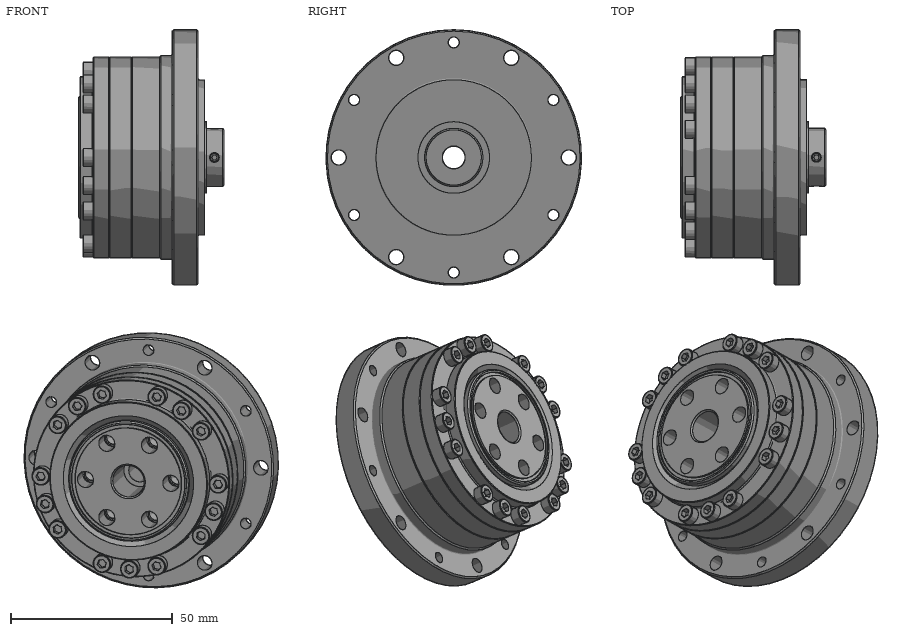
import cadquery as cq
import math


LIP_FACE_X = 0.5
BOLT_HEAD_X = 1.4
FRONT_RING_X = 4.6
MIDDLE_RING_X = 9.55
HOUSING_X = 16.5
PILOT_X = 25.1
FLANGE_X = 29.0
FLANGE_REAR_X = 37.0
BOSS_END_X = 39.0
COLLAR_END_X = 39.6
HUB_END_X = 45.0
SET_SCREW_X = 42.0

RING_R = 31.05
LIP_R = 25.0
PILOT_R = 31.5
FLANGE_R = 39.5
BOSS_R = 24.0
OUTPUT_R = 18.95
OUTPUT_BORE_R = 5.0
COLLAR_R = 11.05
HUB_R = 9.0
HUB_BORE_R = 3.5

JOINT_CHAMFER = 0.2
OUTPUT_CHAMFER = 0.5
FLANGE_CHAMFER = 0.5
HUB_CHAMFER = 0.5
ROOT_FILLET = 0.4

MOUTH_R = 20.6
MOUTH_DEPTH = 1.6

GROOVE_INNER_R = 16.8
GROOVE_OUTER_R = 17.9
GROOVE_DEPTH = 0.6

TAPPED_COUNT = 6
TAPPED_CIRCLE_R = 13.5
TAPPED_R = 2.5
TAPPED_DEPTH = 7.9
DRILL_R = 2.1
DRILL_DEPTH = 9.5
DRILL_TIP_DEG = 118

FLANGE_CIRCLE_R = 35.55
FLANGE_HOLE_COUNT = 6
LARGE_HOLE_R = 2.3
SMALL_HOLE_R = 1.65

BOLT_CIRCLE_R = 28.05
BOLT_STATIONS = 20
EMPTY_STATIONS = (1, 5, 9, 13, 17)
BOLT_HEAD_R = 2.8
BOLT_CHAMFER = 0.2
BOLT_SOCKET_WIDTH = 2.5
BOLT_SOCKET_DEPTH = 1.9

SET_SCREW_R = 1.5
SET_SCREW_TOP_R = 8.7
SET_SCREW_CHAMFER = 0.2
SET_SCREW_SOCKET_WIDTH = 1.5
SET_SCREW_SOCKET_DEPTH = 1.6

FULL_TURN = 360
HEX_SIDES = 6
X_AXIS = cq.Vector(1, 0, 0)


def turned(profile):
    """Revolve a closed (x, radius) outline about the X axis."""
    return cq.Workplane("XZ").polyline(profile).close().revolve(FULL_TURN, (0, 0), (1, 0))


def cylinder_x(radius, start_x, end_x, y=0, z=0):
    """Cylinder parallel to X."""
    return cq.Workplane(cq.Solid.makeCylinder(radius, end_x - start_x, cq.Vector(start_x, y, z), X_AXIS))


def polar_points(radius, count, start_deg=0, skipped=()):
    """(y, z, angle) of equally spaced points, counted from -Y toward +Z."""
    points = []
    for index in range(count):
        if index in skipped:
            continue
        angle = math.radians(start_deg + index * FULL_TURN / count)
        points.append((-radius * math.cos(angle), radius * math.sin(angle), math.degrees(angle)))
    return points


def hexagon_diameter(width_across_flats):
    """Diameter of the circle through the corners of a hexagon."""
    return width_across_flats / math.cos(math.pi / HEX_SIDES)


def bored_ring(start_x, end_x):
    """Plain ring around the output disc with both outer edges broken."""
    c = JOINT_CHAMFER
    return turned([
        (start_x, OUTPUT_R),
        (start_x, RING_R - c),
        (start_x + c, RING_R),
        (end_x - c, RING_R),
        (end_x, RING_R - c),
        (end_x, OUTPUT_R),
    ])


def bolt_head():
    """Socket bolt head on the -Y side, with a hexagon corner pointing outward."""
    head = (
        cylinder_x(BOLT_HEAD_R, BOLT_HEAD_X, FRONT_RING_X, y=-BOLT_CIRCLE_R)
        .faces("<X").edges().chamfer(BOLT_CHAMFER)
    )
    socket = (
        cq.Workplane("YZ", origin=(BOLT_HEAD_X, -BOLT_CIRCLE_R, 0))
        .polygon(HEX_SIDES, hexagon_diameter(BOLT_SOCKET_WIDTH))
        .extrude(BOLT_SOCKET_DEPTH)
    )
    return head.cut(socket)


def make_front_ring():
    """Front ring with a raised lip and the bolt heads that stand on it."""
    c = JOINT_CHAMFER
    lip = (
        cq.Workplane("XZ")
        .moveTo(LIP_FACE_X, MOUTH_R)
        .lineTo(LIP_FACE_X, LIP_R - c)
        .lineTo(LIP_FACE_X + c, LIP_R)
        .lineTo(FRONT_RING_X - ROOT_FILLET, LIP_R)
        .radiusArc((FRONT_RING_X, LIP_R + ROOT_FILLET), -ROOT_FILLET)
        .lineTo(FRONT_RING_X, OUTPUT_R)
        .lineTo(LIP_FACE_X + MOUTH_DEPTH, OUTPUT_R)
        .close()
        .revolve(FULL_TURN, (0, 0), (1, 0))
    )
    ring = bored_ring(FRONT_RING_X, MIDDLE_RING_X).union(lip)
    head = bolt_head()
    for _, _, angle in polar_points(BOLT_CIRCLE_R, BOLT_STATIONS, skipped=EMPTY_STATIONS):
        ring = ring.union(head.rotate((0, 0, 0), (1, 0, 0), -angle))
    return ring


def make_middle_ring():
    return bored_ring(MIDDLE_RING_X, HOUSING_X)


def make_housing():
    """Rear ring, pilot, mounting flange and rear boss in one piece, bored for the hub."""
    c = JOINT_CHAMFER
    step = PILOT_R - RING_R
    housing = (
        cq.Workplane("XZ")
        .moveTo(HOUSING_X, HUB_R)
        .lineTo(HOUSING_X, RING_R - c)
        .lineTo(HOUSING_X + c, RING_R)
        .lineTo(PILOT_X, RING_R)
        .lineTo(PILOT_X + step, PILOT_R)
        .lineTo(FLANGE_X - ROOT_FILLET, PILOT_R)
        .radiusArc((FLANGE_X, PILOT_R + ROOT_FILLET), -ROOT_FILLET)
        .lineTo(FLANGE_X, FLANGE_R - FLANGE_CHAMFER)
        .lineTo(FLANGE_X + FLANGE_CHAMFER, FLANGE_R)
        .lineTo(FLANGE_REAR_X - FLANGE_CHAMFER, FLANGE_R)
        .lineTo(FLANGE_REAR_X, FLANGE_R - FLANGE_CHAMFER)
        .lineTo(FLANGE_REAR_X, BOSS_R + ROOT_FILLET)
        .radiusArc((FLANGE_REAR_X + ROOT_FILLET, BOSS_R), -ROOT_FILLET)
        .lineTo(BOSS_END_X, BOSS_R)
        .lineTo(BOSS_END_X, HUB_R)
        .close()
        .revolve(FULL_TURN, (0, 0), (1, 0))
    )
    half_pitch = FULL_TURN / FLANGE_HOLE_COUNT / 2
    for hole_r, start_deg in ((LARGE_HOLE_R, 0), (SMALL_HOLE_R, half_pitch)):
        for y, z, _ in polar_points(FLANGE_CIRCLE_R, FLANGE_HOLE_COUNT, start_deg):
            housing = housing.cut(cylinder_x(hole_r, FLANGE_X, FLANGE_REAR_X, y, z))
    return housing


def tapped_hole():
    """Cutter on the X axis: thread bore, smaller drill bore and drill tip."""
    tip_length = DRILL_R / math.tan(math.radians(DRILL_TIP_DEG / 2))
    return turned([
        (0, 0),
        (0, TAPPED_R),
        (TAPPED_DEPTH, TAPPED_R),
        (TAPPED_DEPTH, DRILL_R),
        (DRILL_DEPTH, DRILL_R),
        (DRILL_DEPTH + tip_length, 0),
    ])


def make_output_disc():
    """Output disc inside the front and middle rings."""
    c = OUTPUT_CHAMFER
    disc = turned([
        (c, OUTPUT_BORE_R),
        (0, OUTPUT_BORE_R + c),
        (0, GROOVE_INNER_R),
        (GROOVE_DEPTH, GROOVE_INNER_R),
        (GROOVE_DEPTH, GROOVE_OUTER_R),
        (0, GROOVE_OUTER_R),
        (0, OUTPUT_R - c),
        (c, OUTPUT_R),
        (HOUSING_X, OUTPUT_R),
        (HOUSING_X, OUTPUT_BORE_R),
    ])
    hole = tapped_hole()
    for y, z, _ in polar_points(TAPPED_CIRCLE_R, TAPPED_COUNT):
        disc = disc.cut(hole.translate((0, y, z)))
    return disc


def radial_planes():
    """Planes on the axis whose normals follow the set screws, toward -Y and +Z."""
    origin = (SET_SCREW_X, 0, 0)
    return [cq.Plane(origin, (1, 0, 0), normal) for normal in ((0, -1, 0), (0, 0, 1))]


def make_hub():
    """Input hub with a collar against the rear boss and a through bore."""
    hub = turned([
        (HOUSING_X, HUB_BORE_R),
        (HOUSING_X, HUB_R),
        (BOSS_END_X, HUB_R),
        (BOSS_END_X, COLLAR_R),
        (COLLAR_END_X, COLLAR_R),
        (COLLAR_END_X, HUB_R),
        (HUB_END_X - HUB_CHAMFER, HUB_R),
        (HUB_END_X, HUB_R - HUB_CHAMFER),
        (HUB_END_X, HUB_BORE_R),
    ])
    for plane in radial_planes():
        hub = hub.cut(cq.Workplane(plane).circle(SET_SCREW_R).extrude(HUB_R))
    return hub


def make_set_screw(plane):
    """Headless screw from the hub bore to just below the hub surface."""
    screw = (
        cq.Workplane(plane)
        .workplane(offset=HUB_BORE_R)
        .circle(SET_SCREW_R)
        .extrude(SET_SCREW_TOP_R - HUB_BORE_R)
    )
    outer_end = cq.selectors.DirectionMinMaxSelector(plane.zDir)
    screw = screw.faces(outer_end).edges().chamfer(SET_SCREW_CHAMFER)
    socket = (
        cq.Workplane(plane)
        .workplane(offset=SET_SCREW_TOP_R)
        .polygon(HEX_SIDES, hexagon_diameter(SET_SCREW_SOCKET_WIDTH))
        .extrude(-SET_SCREW_SOCKET_DEPTH)
    )
    return screw.cut(socket)


front_ring = make_front_ring()
middle_ring = make_middle_ring()
housing = make_housing()
output_disc = make_output_disc()
hub = make_hub()
set_screws = [make_set_screw(plane) for plane in radial_planes()]

result = cq.Compound.makeCompound([
    front_ring.val(),
    middle_ring.val(),
    housing.val(),
    output_disc.val(),
    hub.val(),
    *[screw.val() for screw in set_screws],
])